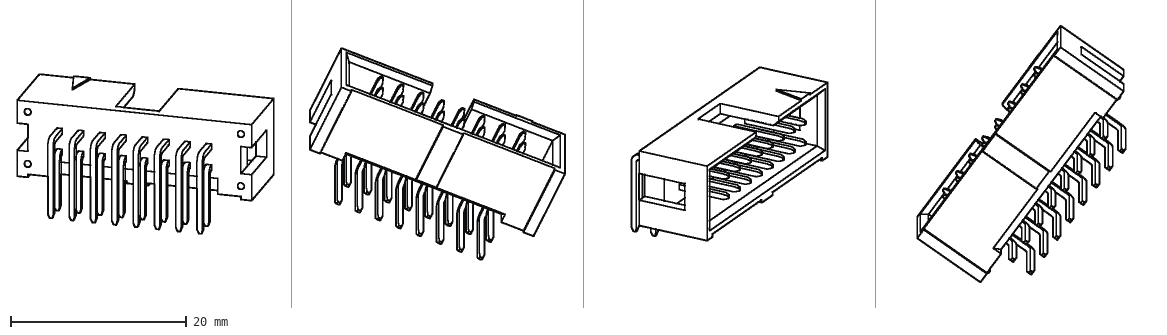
import cadquery as cq
import math


body_length = 27.95
body_depth = 8.9
body_height = 9.28
pitch = body_length / 11
wall = pitch / 2
base_depth = pitch
cavity_floor_z = 1.7
cavity_ceiling_z = body_height - wall
mouth_chamfer = 0.67

columns = 8
pin_width = 0.65
tip_width = 0.3
tip_length = 0.53
pin_end_gap = 0.03
pin_front_y = body_depth - pin_end_gap
bend_inner_radius = 0.3
upper_row_z = 6.1
lower_row_z = upper_row_z - pitch
short_leg_y = -0.87
long_leg_y = short_leg_y - pitch
pin_bottom_z = -3.3

key_slot_width = 5.17
window_height = 3.3
window_front_y = 5.98
window_mid_z = (upper_row_z + lower_row_z) / 2

recess_height = 0.35
key_rib_width = pitch
bevel_width = 19.85
bevel_height = 2.3
bevel_depth = 1.35

bump_radius = 0.4
bump_x = body_length / 2 - pitch / 2
bump_top_z = body_height - pitch / 2
bump_spacing = 2.5 * pitch
bump_bottom_z = bump_top_z - bump_spacing
mark_width = 2.0
mark_depth = 3.85
mark_height = 0.2

column_xs = [(i - (columns - 1) / 2) * pitch for i in range(columns)]


def block(x0, x1, y0, y1, z0, z1):
    """Box between opposite corners."""
    return cq.Workplane("XY").box(x1 - x0, y1 - y0, z1 - z0, centered=False).translate((x0, y0, z0))


def make_cavity():
    """Mating cavity, open at the front, with a bevelled mouth."""
    half = body_length / 2 - wall
    mid_z = (cavity_floor_z + cavity_ceiling_z) / 2
    height = cavity_ceiling_z - cavity_floor_z
    cavity = block(-half, half, base_depth, body_depth, cavity_floor_z, cavity_ceiling_z)
    mouth = (
        cq.Workplane("XZ", origin=(0, body_depth, mid_z))
        .rect(2 * (half + mouth_chamfer), height + 2 * mouth_chamfer)
        .extrude(mouth_chamfer, taper=45)
    )
    return cavity.union(mouth)


def make_key_slot():
    """Polarising slot through the top wall."""
    half = key_slot_width / 2
    return block(-half, half, wall, body_depth, cavity_ceiling_z, body_height)


def make_end_window(side):
    """Latch window through one end wall, running on as a notch beside the base."""
    outer_x = side * body_length / 2
    inner_x = side * (body_length / 2 - wall)
    z0 = window_mid_z - window_height / 2
    return block(min(outer_x, inner_x), max(outer_x, inner_x), 0, window_front_y, z0, z0 + window_height)


def make_underside_recess(side):
    """Shallow recess between an end foot and the central key rib."""
    outer_x = side * (body_length / 2 - wall)
    inner_x = side * key_rib_width / 2
    return block(min(outer_x, inner_x), max(outer_x, inner_x), 0, body_depth, 0, recess_height)


def make_bevel():
    """Sloped cut along the lower back edge, clearing the pin bends."""
    return (
        cq.Workplane("YZ", origin=(-bevel_width / 2, 0, 0))
        .polyline([(0, 0), (bevel_depth, 0), (0, bevel_height)])
        .close()
        .extrude(bevel_width)
    )


def make_bump(x, z):
    """Hemispherical standoff on the back face."""
    return cq.Workplane("XY").sphere(bump_radius).translate((x, 0, z))


def make_pin_one_mark():
    """Raised triangle on the top face pointing back from the mouth."""
    x = column_xs[0]
    return (
        cq.Workplane("XY", origin=(0, 0, body_height))
        .moveTo(x - mark_width / 2, body_depth)
        .lineTo(x + mark_width / 2, body_depth)
        .lineTo(x, body_depth - mark_depth)
        .close()
        .extrude(mark_height)
    )


def make_pin(x, row_z, leg_y):
    """Square pin bent down through 90 degrees, tapered at both ends."""
    bend_radius = bend_inner_radius + pin_width / 2
    bend_y = leg_y + bend_radius
    bend_z = row_z - bend_radius
    diagonal = bend_radius * math.sqrt(0.5)
    path = (
        cq.Workplane("YZ", origin=(x, 0, 0))
        .moveTo(pin_front_y - tip_length, row_z)
        .lineTo(bend_y, row_z)
        .threePointArc((bend_y - diagonal, bend_z + diagonal), (leg_y, bend_z))
        .lineTo(leg_y, pin_bottom_z + tip_length)
    )
    start = cq.Workplane("XZ", origin=(x, pin_front_y - tip_length, row_z))
    bar = start.rect(pin_width, pin_width).sweep(path)
    tip_angle = math.degrees(math.atan((pin_width - tip_width) / 2 / tip_length))
    for end in (">Y", "<Z"):
        tip = (
            bar.faces(end)
            .workplane(centerOption="CenterOfMass")
            .rect(pin_width, pin_width)
            .extrude(tip_length, taper=tip_angle, combine=False)
        )
        bar = bar.union(tip)
    return bar


result = block(-body_length / 2, body_length / 2, 0, body_depth, 0, body_height)
result = result.cut(make_cavity()).cut(make_key_slot()).cut(make_bevel())
for side in (-1, 1):
    result = result.cut(make_end_window(side)).cut(make_underside_recess(side))

result = result.union(make_pin_one_mark())
for side in (-1, 1):
    for bump_z in (bump_bottom_z, bump_top_z):
        result = result.union(make_bump(side * bump_x, bump_z))

for column_x in column_xs:
    result = result.union(make_pin(column_x, upper_row_z, long_leg_y))
    result = result.union(make_pin(column_x, lower_row_z, short_leg_y))